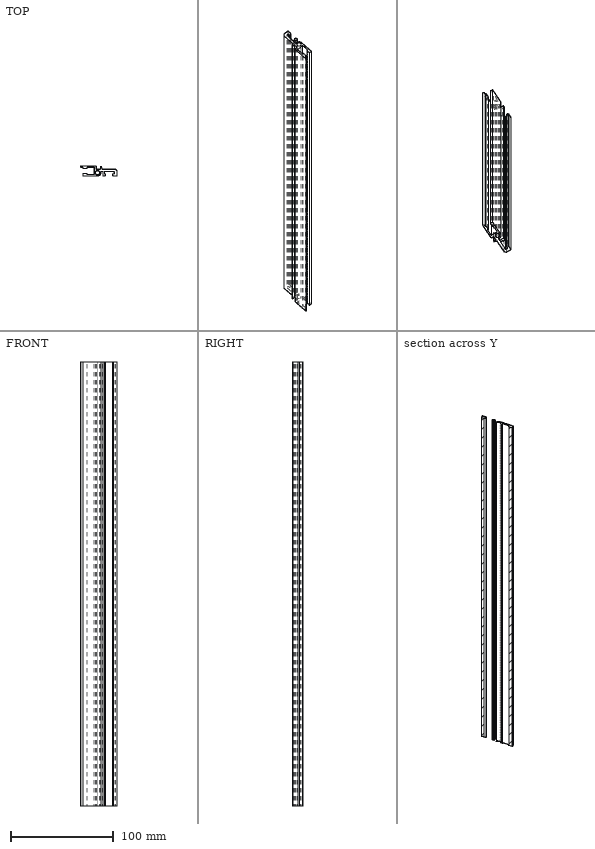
import cadquery as cq

WIDTH = 35.8
DEPTH = 10.0
LENGTH = 431.8

LEFT = -WIDTH / 2
RIGHT = WIDTH / 2
FRONT = -DEPTH / 2
BACK = DEPTH / 2

FLANGE = 1.6
TIP_RADIUS = 1.0
FRONT_FLANGE_SETBACK = 2.5
LIP_WIDTH = 4.0
LIP_HEIGHT = 1.0
WEB_LEFT = -4.6
WEB_RIGHT = -2.2
WEB_RADIUS = 1.2

BOSS_X = -1.2
BOSS_RADIUS = 3.3
BORE_RADIUS = 2.0
BOSS_Y = FRONT + BOSS_RADIUS

ARM = 2.6
ARM_BACK = 1.9
ARM_FRONT = ARM_BACK - ARM
CORNER_CHAMFER = 1.6
SPUR_X = 1.5
SPUR_ROOT = 2.0
SPUR_TIP = 0.9
SPUR_BACK = 4.5

LEFT_LEG_X = 4.1
LEFT_LEG = 1.65
RIGHT_LEG_NECK = 2.9
RIGHT_LEG_FOOT = 3.8
BARB_WIDTH = 0.95
BARB_HEIGHT = 2.2
BARB_LEAD = 0.6


def section_plane(x=0, y=0):
    """Plane of the cross-section at the lower end of the bar."""
    return cq.Workplane("XY", origin=(x, y, -LENGTH / 2))


def box(x_min, x_max, y_min, y_max):
    """Full-length bar over a rectangle of the cross-section."""
    center = section_plane((x_min + x_max) / 2, (y_min + y_max) / 2)
    return center.rect(x_max - x_min, y_max - y_min).extrude(LENGTH)


def prism(points):
    """Full-length bar over a polygon of the cross-section."""
    return section_plane().polyline(points).close().extrude(LENGTH)


def boss_cylinder(radius):
    """Full-length cylinder on the axis of the screw boss."""
    return section_plane(BOSS_X, BOSS_Y).circle(radius).extrude(LENGTH)


def clamp_channel():
    """Back flange, web and front flange, with a lip inside each flange."""
    lip_left = LEFT + FRONT_FLANGE_SETBACK
    lip_right = lip_left + LIP_WIDTH
    lip_reach = FLANGE + LIP_HEIGHT

    back_flange = box(LEFT, WEB_RIGHT, BACK - FLANGE, BACK).edges("|Z and <X and <Y").fillet(TIP_RADIUS)
    web = box(WEB_LEFT, WEB_RIGHT, FRONT, BACK)
    body = back_flange.union(web).edges("|Z and >X and >Y").fillet(WEB_RADIUS)

    front_flange = box(lip_left, BOSS_X, FRONT, FRONT + FLANGE)
    back_lip = box(lip_left, lip_right, BACK - lip_reach, BACK - FLANGE / 2)
    front_lip = box(lip_left, lip_right, FRONT, FRONT + lip_reach)
    return body.union(front_flange).union(back_lip).union(front_lip)


def screw_boss():
    """Round boss whose right side runs straight back to the arm."""
    shoulder = box(BOSS_X, BOSS_X + BOSS_RADIUS, BOSS_Y, ARM_BACK)
    return boss_cylinder(BOSS_RADIUS).union(shoulder)


def arm_with_spur():
    """Arm with a chamfered outer corner and a tapered spur standing on it."""
    arm = box(WEB_RIGHT, RIGHT, ARM_FRONT, ARM_BACK).edges("|Z and >X and >Y").chamfer(CORNER_CHAMFER)
    spur = prism([
        (SPUR_X, ARM_FRONT),
        (SPUR_X + SPUR_ROOT, ARM_FRONT),
        (SPUR_X + SPUR_ROOT, ARM_BACK),
        (SPUR_X + SPUR_TIP, SPUR_BACK),
        (SPUR_X, SPUR_BACK),
    ])
    return arm.union(spur)


def snap_leg(outer_x, neck, foot, direction):
    """Barbed leg; the barb points toward +X (direction 1) or -X (direction -1)."""
    neck_x = outer_x + direction * neck
    foot_x = outer_x + direction * foot
    tip_x = foot_x + direction * BARB_WIDTH
    return prism([
        (outer_x, ARM_FRONT),
        (outer_x, FRONT),
        (foot_x, FRONT),
        (tip_x, FRONT + BARB_LEAD),
        (tip_x, FRONT + BARB_HEIGHT),
        (neck_x, FRONT + BARB_HEIGHT),
        (neck_x, ARM_FRONT),
    ])


left_leg = snap_leg(LEFT_LEG_X, LEFT_LEG, LEFT_LEG, 1)
right_leg = snap_leg(RIGHT, RIGHT_LEG_NECK, RIGHT_LEG_FOOT, -1)

result = clamp_channel().union(screw_boss()).union(arm_with_spur()).union(left_leg).union(right_leg)
result = result.cut(boss_cylinder(BORE_RADIUS))